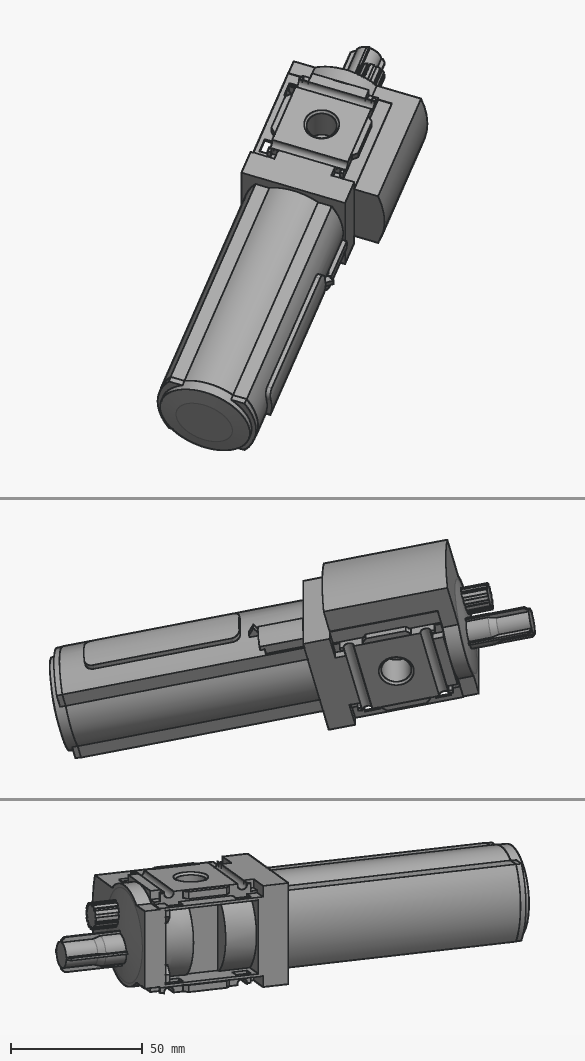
import cadquery as cq
import math


BODY_LEFT = -21.0
BODY_RIGHT = 20.7
BODY_HEIGHT = 40.1
BODY_HALF_HEIGHT = BODY_HEIGHT / 2
FRONT_PLATE_REAR = 10.4
REAR_PLATE_FRONT = 52.5
BODY_REAR = 58.6
LEDGE_Z = 15.7
REAR_PLATE_HALF_HEIGHT = 15.3
REAR_DOME_RADIUS = 19.8

COVER_EDGE_X = 30.3
COVER_CREST_X = 33.0
COVER_HALF_HEIGHT = 15.3

PAD_WIDTH = 30.5
PAD_HALF_WIDTH = PAD_WIDTH / 2
PAD_INNER_HALF_WIDTH = 11.5
PAD_CORNER_LENGTH = 4.0
PAD_CORNER_Z = 16.6
POST_WIDTH = 1.3
POST_LENGTH = 1.5
POST_DROP = 0.4
PORT_Y = (FRONT_PLATE_REAR + REAR_PLATE_FRONT) / 2
PORT_DIAMETER = 11.5
PORT_CHAMFER = 1.0
PORT_DEPTH = 14.8
GROOVE_DIAMETER = 3.9
GROOVE_RADIUS = GROOVE_DIAMETER / 2
GROOVE_DEPTH = 2.4
GROOVE_OFFSET = 15.0
CLIP_REACH = 2.2
CLIP_DROP = 0.2
CLIP_LENGTH = 18.9
CLIP_HEIGHT = 2.8
CLIP_CHAMFER = 1.7
SLOT_LEFT = -19.0
SLOT_LENGTH = 6.0
SLOT_Y = (17.5, 45.3)

WINDOW_FRONT = 12.2
WINDOW_REAR = 50.1
WINDOW_HALF_HEIGHT = 14.6
WINDOW_FLOOR_X = -9.2
INSERT_RADIUS = 19.0
INSERT_REAR_RADIUS = 18.3
INSERT_NOTCH_FRONT = 24.8
INSERT_NOTCH_REAR = 37.9
INSERT_NOTCH_X = -11.1
STOP_LENGTH = 2.5
STOP_X = -19.0
STOP_INNER_X = -16.3
STOP_OUTER_Z = 11.5
STOP_INNER_Z = 8.0

BOWL_DIAMETER = 36.5
BOWL_RADIUS = BOWL_DIAMETER / 2
BOWL_SIDE_X = 20.0
BOWL_CORNER_X = 15.3
BOWL_HALF_HEIGHT = 15.3
BOWL_RIM = -95.2
BOWL_RIM_INSET = 0.1
BOWL_SIDE_END = -97.5
BOWL_ROUND_END = -99.5
BOWL_TIP = -100.5
BOWL_TIP_DIAMETER = 22.7
BOWL_TIP_RADIUS = BOWL_TIP_DIAMETER / 2

GLASS_REAR = -24.8
GLASS_FRONT = -85.2
GLASS_HALF_WIDTH = 7.8
GLASS_CORNER_RADIUS = 3.1
GLASS_RISE = 1.8
LATCH_TOP_Z = -4.6
LATCH_BOTTOM_Z = -14.8
LATCH_TOP_X = 21.5
LATCH_MIDDLE_X = 21.3
LATCH_BOTTOM_X = 19.5
LATCH_END = -21.3
LATCH_THICKNESS = 1.7
LATCH_BASE_END = -15.7
LATCH_LIP_REAR = -17.4
LATCH_LIP_PEAK = -18.9
LATCH_LIP_X = 23.0
LATCH_LIP_BOTTOM_Z = -7.0

REAR_CAP_RADIUS = 18.3
REAR_CAP_RISE = 1.8
STEM_REAR = 84.3
STEM_Z = -5.0
STEM_FIN_DIAMETER = 13.9
STEM_FIN_RADIUS = STEM_FIN_DIAMETER / 2
STEM_FIN_WIDTH = 1.0
STEM_FIN_COUNT = 4
STEM_CHAMFER = 1.3
STEM_THIN_DIAMETER = 10.2
STEM_THIN_RADIUS = STEM_THIN_DIAMETER / 2
STEM_THICK_DIAMETER = 12.0
STEM_THICK_RADIUS = STEM_THICK_DIAMETER / 2
STEM_TAPER_FRONT = 68.6
STEM_TAPER_REAR = 71.5
KNOB_X = 6.7
KNOB_Z = 6.8
KNOB_RADIUS = 5.2
KNOB_REAR = 69.5
KNOB_TEETH = 12
KNOB_SLOT_WIDTH = 1.1
KNOB_SLOT_DEPTH = 0.7


def box(x_range, y_range, z_range):
    """Axis-aligned block from its (low, high) limits along X, Y and Z."""
    size = [high - low for low, high in (x_range, y_range, z_range)]
    return cq.Workplane("XY").box(*size, centered=False).translate((x_range[0], y_range[0], z_range[0]))


def section(y):
    """Workplane normal to the bowl axis, with local X, Y along the part's X, Z; extrudes toward -Y."""
    return cq.Workplane("XZ", origin=(0, y, 0))


def revolve_about_y(points):
    """Solid of revolution about the bowl axis from (radius, y) points."""
    return cq.Workplane("XY").polyline(points).close().revolve(360, (0, 0, 0), (0, 1, 0))


def mirrored_in_z(shape):
    """The shape together with its mirror image below the XY plane."""
    return shape.union(shape.mirror("XY"))


def bowl_side_profile(y, growth=0, height=BOWL_HALF_HEIGHT):
    """Flat-topped outline with bulging sides; growth moves the sides outward."""
    corner = BOWL_CORNER_X + growth
    side = BOWL_SIDE_X + growth
    return (
        section(y)
        .moveTo(-corner, -height)
        .lineTo(corner, -height)
        .threePointArc((side, 0), (corner, height))
        .lineTo(-corner, height)
        .threePointArc((-side, 0), (-corner, -height))
        .close()
    )


def make_bowl():
    """Round bowl with bulging sides, a slightly stepped rim and a shallow conical bottom."""
    rim_radius = BOWL_RADIUS - BOWL_RIM_INSET
    round_part = revolve_about_y([
        (0, 0),
        (BOWL_RADIUS, 0),
        (BOWL_RADIUS, BOWL_RIM),
        (rim_radius, BOWL_RIM),
        (rim_radius, BOWL_ROUND_END),
        (BOWL_TIP_RADIUS, BOWL_TIP),
        (0, BOWL_TIP),
    ])
    sides = bowl_side_profile(0).extrude(-BOWL_RIM)
    rim_sides = bowl_side_profile(
        BOWL_RIM,
        -BOWL_RIM_INSET,
        BOWL_HALF_HEIGHT - BOWL_RIM_INSET,
    ).extrude(BOWL_RIM - BOWL_SIDE_END)
    return round_part.union(sides).union(rim_sides)


def make_sight_glass():
    """Round-cornered window strip standing proud of the bowl side and following its curve."""
    blank = (
        box(
            (BOWL_CORNER_X, BOWL_SIDE_X + 2 * GLASS_RISE),
            (GLASS_FRONT, GLASS_REAR),
            (-GLASS_HALF_WIDTH, GLASS_HALF_WIDTH),
        )
        .edges("|X")
        .fillet(GLASS_CORNER_RADIUS)
    )
    return blank.intersect(bowl_side_profile(0, GLASS_RISE).extrude(-BOWL_TIP))


def latch_layer(inset, end_y):
    """Filled latch section out to its curved outer face, moved inward by inset."""
    return (
        section(0)
        .moveTo(0, LATCH_TOP_Z)
        .lineTo(LATCH_TOP_X - inset, LATCH_TOP_Z)
        .threePointArc(
            (LATCH_MIDDLE_X - inset, (LATCH_TOP_Z + LATCH_BOTTOM_Z) / 2),
            (LATCH_BOTTOM_X - inset, LATCH_BOTTOM_Z),
        )
        .lineTo(0, LATCH_BOTTOM_Z)
        .close()
        .extrude(-end_y)
    )


def make_latch():
    """Curved latch band on a shorter base, ending in a pointed finger lip."""
    base = latch_layer(LATCH_THICKNESS, LATCH_BASE_END)
    band = latch_layer(0, LATCH_LIP_REAR).cut(latch_layer(LATCH_THICKNESS, LATCH_LIP_REAR))
    lip = (
        cq.Workplane("XY", origin=(0, 0, LATCH_LIP_BOTTOM_Z))
        .polyline([
            (BOWL_CORNER_X, LATCH_LIP_REAR),
            (BOWL_SIDE_X, LATCH_LIP_REAR),
            (LATCH_LIP_X, LATCH_LIP_PEAK),
            (BOWL_SIDE_X, LATCH_END),
            (BOWL_CORNER_X, LATCH_END),
        ])
        .close()
        .extrude(LATCH_TOP_Z - LATCH_LIP_BOTTOM_Z)
    )
    return base.union(band).union(lip)


def make_body_frame():
    """Front plate, lower middle part and rear plate with its rounded top and bottom."""
    width = (BODY_LEFT, BODY_RIGHT)
    front_plate = box(width, (0, FRONT_PLATE_REAR), (-BODY_HALF_HEIGHT, BODY_HALF_HEIGHT))
    middle = box(width, (FRONT_PLATE_REAR, REAR_PLATE_FRONT), (-LEDGE_Z, LEDGE_Z))
    rear_plate = box(
        width,
        (REAR_PLATE_FRONT, BODY_REAR),
        (-REAR_PLATE_HALF_HEIGHT, REAR_PLATE_HALF_HEIGHT),
    )
    rear_dome = section(BODY_REAR).circle(REAR_DOME_RADIUS).extrude(BODY_REAR - REAR_PLATE_FRONT)
    return front_plate.union(middle).union(rear_plate).union(rear_dome)


def make_cover():
    """Side cover with a bulging outer face."""
    return (
        section(BODY_REAR)
        .moveTo(BODY_RIGHT, -COVER_HALF_HEIGHT)
        .lineTo(COVER_EDGE_X, -COVER_HALF_HEIGHT)
        .threePointArc((COVER_CREST_X, 0), (COVER_EDGE_X, COVER_HALF_HEIGHT))
        .lineTo(BODY_RIGHT, COVER_HALF_HEIGHT)
        .close()
        .extrude(BODY_REAR - FRONT_PLATE_REAR)
    )


def make_pad():
    """Upper pad: notched corners with a post in each, two round cross grooves and two side clips."""
    height = (LEDGE_Z, BODY_HALF_HEIGHT)
    pad = box(
        (-PAD_INNER_HALF_WIDTH, PAD_INNER_HALF_WIDTH),
        (FRONT_PLATE_REAR, REAR_PLATE_FRONT),
        height,
    )
    pad = pad.union(box(
        (-PAD_HALF_WIDTH, PAD_HALF_WIDTH),
        (FRONT_PLATE_REAR + PAD_CORNER_LENGTH, REAR_PLATE_FRONT - PAD_CORNER_LENGTH),
        height,
    ))
    pad = pad.union(box(
        (-PAD_HALF_WIDTH, PAD_HALF_WIDTH),
        (FRONT_PLATE_REAR, REAR_PLATE_FRONT),
        (LEDGE_Z, PAD_CORNER_Z),
    ))
    post_height = BODY_HALF_HEIGHT - POST_DROP - LEDGE_Z
    half_length = (REAR_PLATE_FRONT - FRONT_PLATE_REAR) / 2
    post_x = PAD_HALF_WIDTH - POST_WIDTH / 2
    post_y = half_length - PAD_CORNER_LENGTH + POST_LENGTH / 2
    posts = (
        cq.Workplane("XY", origin=(0, PORT_Y, LEDGE_Z))
        .rect(2 * post_x, 2 * post_y, forConstruction=True)
        .vertices()
        .rect(POST_WIDTH, POST_LENGTH)
        .extrude(post_height)
    )
    clips = (
        cq.Workplane("XY", origin=(0, PORT_Y, BODY_HALF_HEIGHT - CLIP_DROP - CLIP_HEIGHT))
        .rect(2 * (PAD_HALF_WIDTH + CLIP_REACH), CLIP_LENGTH)
        .extrude(CLIP_HEIGHT)
        .edges("|Z")
        .chamfer(CLIP_CHAMFER)
    )
    groove_z = BODY_HALF_HEIGHT - GROOVE_DEPTH + GROOVE_RADIUS
    grooves = (
        cq.Workplane("YZ", origin=(-PAD_HALF_WIDTH, PORT_Y, groove_z))
        .pushPoints([(-GROOVE_OFFSET, 0), (GROOVE_OFFSET, 0)])
        .circle(GROOVE_RADIUS)
        .extrude(2 * PAD_HALF_WIDTH)
    )
    return pad.union(posts).union(clips).cut(grooves)


def make_port():
    """Cutter for the upper port with its countersunk mouth."""
    radius = PORT_DIAMETER / 2
    return (
        cq.Workplane("XZ", origin=(0, PORT_Y, BODY_HALF_HEIGHT))
        .polyline([
            (0, 0),
            (radius + PORT_CHAMFER, 0),
            (radius, -PORT_CHAMFER),
            (radius, -PORT_DEPTH),
            (0, -PORT_DEPTH),
        ])
        .close()
        .revolve(360, (0, 0, 0), (0, 1, 0))
    )


def make_ledge_slots():
    """Cutters for the two slots through the upper window ledge."""
    slots = cq.Workplane("XY")
    for y in SLOT_Y:
        slots = slots.union(box(
            (SLOT_LEFT, -PAD_HALF_WIDTH),
            (y - SLOT_LENGTH / 2, y + SLOT_LENGTH / 2),
            (WINDOW_HALF_HEIGHT, LEDGE_Z),
        ))
    return slots


def make_window():
    """Cutter for the side window."""
    return box(
        (BODY_LEFT, WINDOW_FLOOR_X),
        (WINDOW_FRONT, WINDOW_REAR),
        (-WINDOW_HALF_HEIGHT, WINDOW_HALF_HEIGHT),
    )


def make_insert():
    """Round insert filling the window, with a flat notch and a tapered rear part."""
    insert = revolve_about_y([
        (0, WINDOW_FRONT),
        (INSERT_RADIUS, WINDOW_FRONT),
        (INSERT_RADIUS, INSERT_NOTCH_REAR),
        (INSERT_REAR_RADIUS, WINDOW_REAR),
        (0, WINDOW_REAR),
    ])
    notch = box(
        (BODY_LEFT, INSERT_NOTCH_X),
        (INSERT_NOTCH_FRONT, INSERT_NOTCH_REAR),
        (-INSERT_RADIUS, INSERT_RADIUS),
    )
    return insert.cut(notch).intersect(make_window())


def make_window_stop():
    """Upper rear corner stop in the window, sloping in toward the insert."""
    return (
        section(WINDOW_REAR)
        .polyline([
            (WINDOW_FLOOR_X, WINDOW_HALF_HEIGHT),
            (STOP_X, WINDOW_HALF_HEIGHT),
            (STOP_X, STOP_OUTER_Z),
            (STOP_INNER_X, STOP_INNER_Z),
            (WINDOW_FLOOR_X, STOP_INNER_Z),
        ])
        .close()
        .extrude(STOP_LENGTH)
    )


def make_rear_cap():
    """Shallow spherical cap on the rear face."""
    mid_radius = REAR_CAP_RADIUS / 2
    sphere_radius = (REAR_CAP_RADIUS**2 + REAR_CAP_RISE**2) / (2 * REAR_CAP_RISE)
    mid_rise = REAR_CAP_RISE - sphere_radius + math.sqrt(sphere_radius**2 - mid_radius**2)
    return (
        cq.Workplane("XY")
        .moveTo(0, BODY_REAR)
        .lineTo(REAR_CAP_RADIUS, BODY_REAR)
        .threePointArc((mid_radius, BODY_REAR + mid_rise), (0, BODY_REAR + REAR_CAP_RISE))
        .close()
        .revolve(360, (0, 0, 0), (0, 1, 0))
    )


def make_stem():
    """Stepped round stem with thin fins along its full length."""
    core = revolve_about_y([
        (0, BODY_REAR),
        (STEM_THICK_RADIUS, BODY_REAR),
        (STEM_THICK_RADIUS, STEM_TAPER_FRONT),
        (STEM_THIN_RADIUS, STEM_TAPER_REAR),
        (STEM_THIN_RADIUS, STEM_REAR),
        (0, STEM_REAR),
    ])
    fin_profile = [
        (0, BODY_REAR),
        (STEM_FIN_RADIUS, BODY_REAR),
        (STEM_FIN_RADIUS, STEM_REAR - STEM_CHAMFER),
        (STEM_FIN_RADIUS - STEM_CHAMFER, STEM_REAR),
        (0, STEM_REAR),
    ]
    fin = cq.Workplane("XY").polyline(fin_profile).close().extrude(STEM_FIN_WIDTH / 2, both=True)
    for index in range(STEM_FIN_COUNT):
        core = core.union(fin.rotate((0, 0, 0), (0, 1, 0), index * 360 / STEM_FIN_COUNT))
    return core.translate((0, 0, STEM_Z))


def make_knob():
    """Serrated knob beside the stem."""
    length = KNOB_REAR - BODY_REAR
    knob = section(KNOB_REAR).circle(KNOB_RADIUS).extrude(length)
    tooth_gaps = (
        section(KNOB_REAR)
        .polarArray(KNOB_RADIUS, 180 / KNOB_TEETH, 360, KNOB_TEETH)
        .rect(2 * KNOB_SLOT_DEPTH, KNOB_SLOT_WIDTH)
        .extrude(length)
    )
    return knob.cut(tooth_gaps).translate((KNOB_X, 0, KNOB_Z))


body = make_body_frame().union(mirrored_in_z(make_pad()))
body = body.cut(make_window()).union(make_insert()).union(mirrored_in_z(make_window_stop()))
body = body.cut(mirrored_in_z(make_ledge_slots())).cut(mirrored_in_z(make_port()))

result = body.union(make_cover()).union(make_rear_cap()).union(make_stem()).union(make_knob())
result = result.union(make_bowl()).union(make_sight_glass()).union(make_latch())